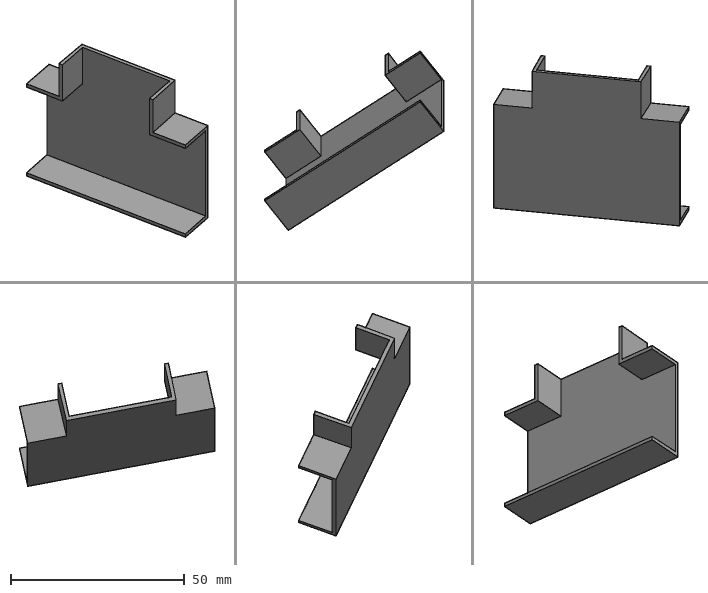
import cadquery as cq

length = 55.0
depth = 11.7
height = 44.1

wall = 1.2
channel_width = 32.55
inner_width = channel_width - 2 * wall
neck_taper = 0.15
flange_root = 1.3
flange_edge = 1.15

back = depth / 2
front = -depth / 2
plate_front = back - wall
body_top = channel_width
half_length = length / 2
half_neck = channel_width / 2
half_inner = inner_width / 2
shoulder_bottom = body_top - wall


def body_channel():
    """Back plate and bottom flange as one profile extruded along X."""
    profile = [
        (back, 0),
        (front, 0),
        (front, flange_edge),
        (plate_front, flange_root),
        (plate_front, body_top),
        (back, body_top),
    ]
    return cq.Workplane("YZ").polyline(profile).close().extrude(half_length, both=True)


def shoulder(side):
    """Upper flange between the neck and one end of the body."""
    flange_length = half_length - half_inner
    return (
        cq.Workplane("XY")
        .box(flange_length, depth, wall, centered=(True, True, False))
        .translate((side * (half_inner + flange_length / 2), 0, shoulder_bottom))
    )


def neck_plate():
    """Continuation of the back plate up the neck."""
    plate_width = channel_width - 2 * neck_taper
    return (
        cq.Workplane("XY")
        .box(plate_width, wall, height - shoulder_bottom, centered=(True, True, False))
        .translate((0, back - wall / 2, shoulder_bottom))
    )


def neck_wall(side):
    """Side wall of the neck, with a slightly sloping outer face."""
    profile = [
        (side * half_inner, front),
        (side * half_neck, front),
        (side * (half_neck - neck_taper), back),
        (side * half_inner, back),
    ]
    return (
        cq.Workplane("XY", origin=(0, 0, shoulder_bottom))
        .polyline(profile)
        .close()
        .extrude(height - shoulder_bottom)
    )


result = body_channel().union(neck_plate())
for side in (-1, 1):
    result = result.union(shoulder(side)).union(neck_wall(side))